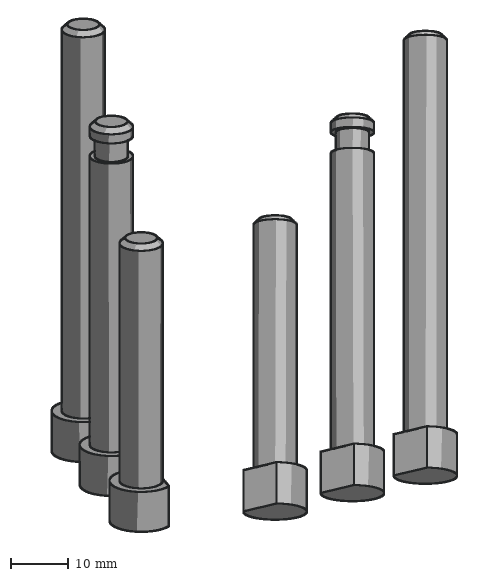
import cadquery as cq

shaft_diameter = 7.61
head_diameter = 11.14
head_depth = 9.47
head_height = 7.5
flat_distance = head_depth - head_diameter / 2

long_pin_length = 79.93
grooved_pin_length = 68.1
short_pin_length = 53.0
tip_chamfer = 1.0

groove_diameter = 5.86
groove_width = 3.8
groove_tip_offset = 2.7

outer_pin_spacing = 47.09 - head_diameter
grooved_pin_spacing = 17.45
long_pin_x = -outer_pin_spacing / 2
grooved_pin_x = long_pin_x + grooved_pin_spacing
short_pin_x = outer_pin_spacing / 2


def make_head():
    """Round head resting on the XY plane, with a flat on its +Y side."""
    head = cq.Workplane("XY").circle(head_diameter / 2).extrude(head_height)
    flat_cutter = (
        cq.Workplane("XY")
        .box(head_diameter, head_diameter, head_height, centered=(True, False, False))
        .translate((0, flat_distance, 0))
    )
    return head.cut(flat_cutter)


def make_pin(length):
    """Headed pin with its axis on Z and a chamfered tip."""
    shaft = (
        cq.Workplane("XY")
        .workplane(offset=head_height)
        .circle(shaft_diameter / 2)
        .extrude(length - head_height)
        .faces(">Z")
        .chamfer(tip_chamfer)
    )
    return make_head().union(shaft)


def make_groove_cutter(length):
    """Ring that cuts the retaining groove below the tip of a pin."""
    groove_bottom = length - groove_tip_offset - groove_width
    return (
        cq.Workplane("XY")
        .workplane(offset=groove_bottom)
        .circle(head_diameter / 2)
        .circle(groove_diameter / 2)
        .extrude(groove_width)
    )


long_pin = make_pin(long_pin_length).translate((long_pin_x, 0, 0))

grooved_pin = (
    make_pin(grooved_pin_length)
    .cut(make_groove_cutter(grooved_pin_length))
    .translate((grooved_pin_x, 0, 0))
)

short_pin = make_pin(short_pin_length).translate((short_pin_x, 0, 0))

pins = [long_pin, grooved_pin, short_pin]
result = cq.Compound.makeCompound([pin.solids().val() for pin in pins])